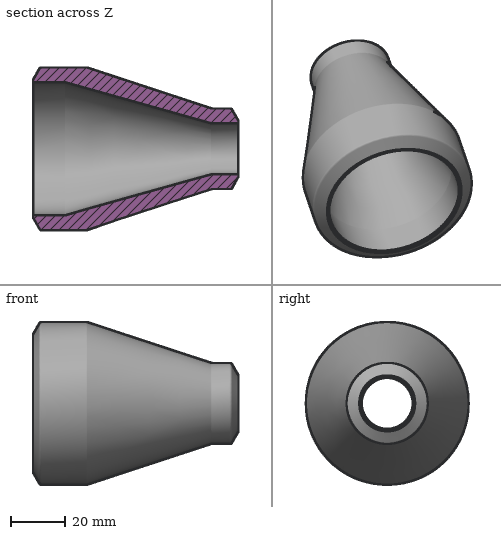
import cadquery as cq
import math

length = 76.0
large_diameter = 60.3
large_bore = 49.1
small_diameter = 30.0
small_bore = 18.8
large_straight = 20.0
small_straight = 10.0
land = 1.0
bore_break = 0.3
bevel_angle = 30.0
edge_rounding = 1.0
bore_straight = 12.0


large_radius = large_diameter / 2
small_radius = small_diameter / 2
large_bore_radius = large_bore / 2
small_bore_radius = small_bore / 2
large_face_radius = large_bore_radius + land
small_face_radius = small_bore_radius + land
bevel_slope = math.tan(math.radians(bevel_angle))
large_bevel = (large_radius - large_face_radius) * bevel_slope
small_bevel = (small_radius - small_face_radius) * bevel_slope
cone_start = large_straight
cone_end = length - small_straight

wall = [
    (0, large_face_radius),
    (large_bevel, large_radius),
    (cone_start, large_radius),
    (cone_end, small_radius),
    (length - small_bevel, small_radius),
    (length, small_face_radius),
    (length, small_bore_radius + bore_break),
    (length - bore_break, small_bore_radius),
    (cone_end, small_bore_radius),
    (bore_straight, large_bore_radius),
    (bore_break, large_bore_radius),
    (0, large_bore_radius + bore_break),
]

body = cq.Workplane("XY").polyline(wall).close().revolve(360, (0, 0, 0), (1, 0, 0))

outer_corners = [large_bevel, cone_start, cone_end, length - small_bevel]
outer_radii = [large_radius, large_radius, small_radius, small_radius]


def is_outer_corner(edge):
    """True for the circular edge at an outside corner of the wall."""
    tolerance = 0.01
    return edge.geomType() == "CIRCLE" and any(
        abs(edge.Center().x - x) < tolerance and abs(edge.radius() - radius) < tolerance
        for x, radius in zip(outer_corners, outer_radii)
    )


rounded_edges = body.edges().filter(is_outer_corner)
result = rounded_edges.fillet(edge_rounding)